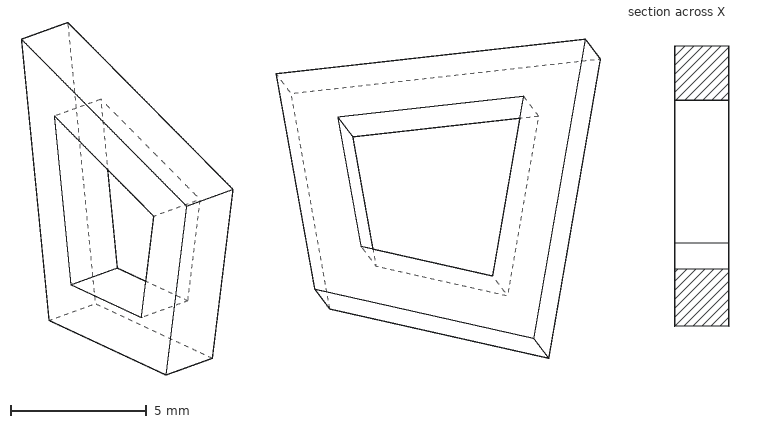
import cadquery as cq

top_width = 11.88
height = 11.73
thickness = 2.0
low_corner_x = 1.98
right_corner_x = 10.4
right_side_height = 8.78
window_scale = 0.6
window_x = (1 - window_scale) * top_width / 2
window_drop = 2.01


def tapered_plate(left, top, scale):
    """Four-sided plate with its top left corner at (left, top), extruded along +Y."""
    corners = [
        (left, top),
        (left + scale * top_width, top),
        (left + scale * right_corner_x, top - scale * right_side_height),
        (left + scale * low_corner_x, top - scale * height),
    ]
    return cq.Workplane("XZ").polyline(corners).close().extrude(-thickness)


frame = tapered_plate(0, height, 1)
window = tapered_plate(window_x, height - window_drop, window_scale)

result = frame.cut(window)